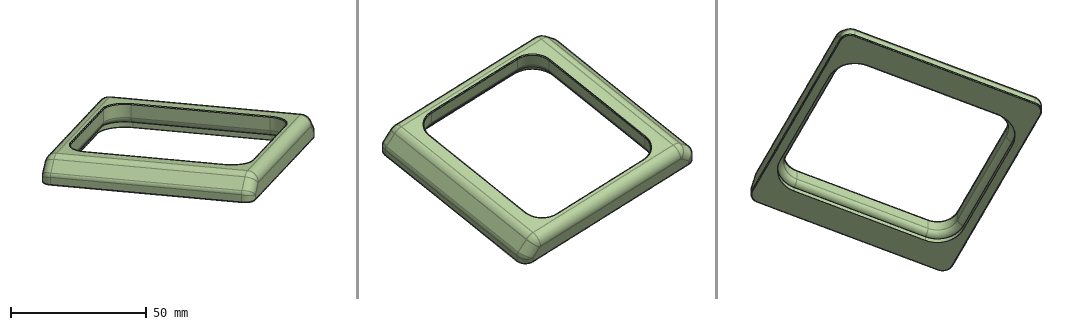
import cadquery as cq
import math

WIDTH = 81.9
LENGTH = 85.0
HEIGHT = 10.0

SLOPE_START = 4.0
SLOPE_ANGLE = 45.0
SLOPE_FOOT_ROUND = 2.0
SLOPE_TOP_ROUND = 4.7

END_ROUND = 4.2
BASE_CHAMFER = 0.3

WINDOW_WIDTH = 70.0
WINDOW_LENGTH = 59.0
WINDOW_CORNER = 8.25
WINDOW_CHAMFER = 0.3

LIP_ROUND = 2.34
LIP_FLAT = 0.04
REBATE_MARGIN = LIP_ROUND + LIP_FLAT
REBATE_DEPTH = 2.2


def sloped_block():
    """Y-Z outline with sloped front and back, extruded along X and rounded along the slopes."""
    slope_run = (HEIGHT - SLOPE_START) / math.tan(math.radians(SLOPE_ANGLE))
    half_length = LENGTH / 2
    outline = [
        (-half_length, 0),
        (half_length, 0),
        (half_length, SLOPE_START),
        (half_length - slope_run, HEIGHT),
        (-half_length + slope_run, HEIGHT),
        (-half_length, SLOPE_START),
    ]
    block = cq.Workplane("YZ").polyline(outline).close().extrude(WIDTH / 2, both=True)
    block = block.faces("<Y or >Y").edges("|X").edges(">Z").fillet(SLOPE_FOOT_ROUND)
    return block.faces(">Z").edges("|X").fillet(SLOPE_TOP_ROUND)


def round_ends(block):
    """Round both end outlines except at the base, then chamfer the base edge all round."""
    block = block.faces("<X or >X").edges("not <Z").fillet(END_ROUND)
    return block.faces("<Z").edges().chamfer(BASE_CHAMFER)


def window_prism(margin, height):
    """Prism standing on the base plane, with the window outline grown by a margin."""
    return (
        cq.Workplane("XY")
        .rect(WINDOW_WIDTH + 2 * margin, WINDOW_LENGTH + 2 * margin)
        .extrude(height)
        .edges("|Z")
        .fillet(WINDOW_CORNER + margin)
    )


def cut_window(block):
    """Cut the window through the block and chamfer its top edge."""
    opened = block.cut(window_prism(0, HEIGHT))
    rim = opened.faces(">Z").val().innerWires()[0]
    return opened.newObject(rim.Edges()).chamfer(WINDOW_CHAMFER)


def cut_rebate(block):
    """Widen the window from below and round the lip left under its wall."""
    stepped = block.cut(window_prism(REBATE_MARGIN, REBATE_DEPTH))
    ceiling_centre = cq.selectors.NearestToPointSelector((0, 0, REBATE_DEPTH))
    lip = stepped.faces(ceiling_centre).val().innerWires()[0]
    return stepped.newObject(lip.Edges()).fillet(LIP_ROUND)


frame = round_ends(sloped_block())
frame = cut_window(frame)
result = cut_rebate(frame)